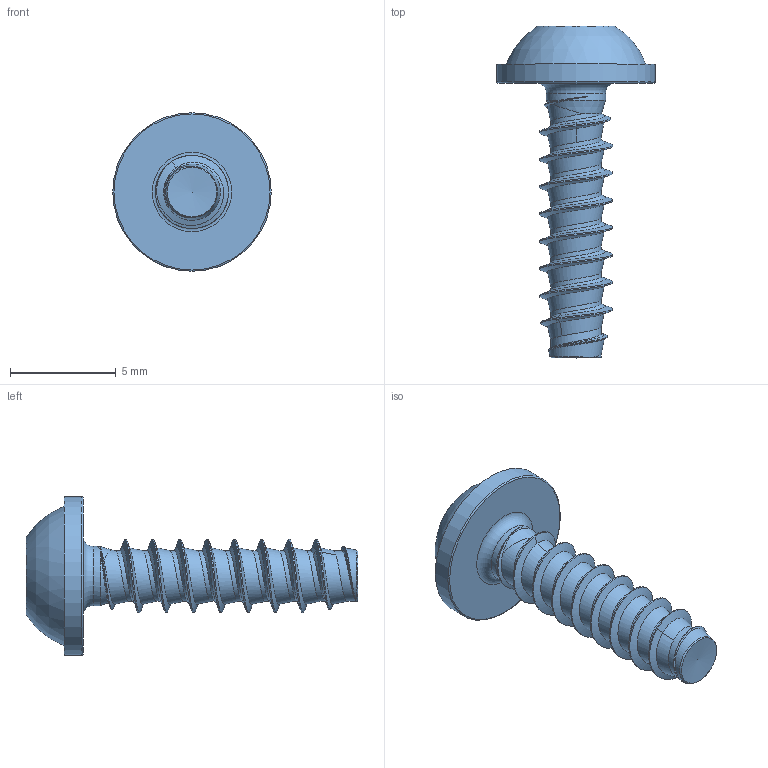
import cadquery as cq
import math


flange_radius = 3.75
flange_thickness = 0.9
flange_edge_radius = 0.06
dome_base_radius = 3.3
dome_height = 1.8
dome_center_drop = 1.2
dome_radius = math.hypot(dome_base_radius, dome_center_drop)

shank_length = 13.0
neck_radius = 1.4
neck_length = 0.8
neck_fillet = 0.48
neck_taper_length = 0.65
core_radius = 1.2
tip_dish_radius = 1.175
tip_dish_depth = 0.08

pitch = 1.29
crest_radius = 1.73
crest_half_width = 0.03
full_crest_depth = 2.0
run_in_turns = 1.25
start_depth = full_crest_depth - run_in_turns * pitch
end_depth = shank_length + pitch / 2
fade_out_depth = 11.15
rise_slope = 0.24
fade_slope = 0.28
flank_foot = 0.14
flare_run = 0.13
flare_share = 0.34
wedge_start = 0.15
wedge_end = 0.80
wedge_height = 0.14
wedge_share = 0.6
min_crest_radius = 1.24
buried_run = 0.08
flare_burial = 0.11
wedge_burial = 0.015
buried_radius = 1.0
sections_per_turn = 16


def make_blank():
    """Head, neck and core of the screw as one solid of revolution."""
    dome_top = flange_thickness + dome_height
    dome_center = flange_thickness - dome_center_drop
    top_radius = math.sqrt(dome_radius**2 - (dome_top - dome_center)**2)
    middle_height = flange_thickness + dome_height / 2
    middle_radius = math.sqrt(dome_radius**2 - (middle_height - dome_center)**2)
    edge = flange_edge_radius
    half_diagonal = math.sqrt(0.5)
    fillet_offset = neck_fillet * (1 - half_diagonal)
    edge_offset = edge * (1 - half_diagonal)
    return (
        cq.Workplane("XY")
        .moveTo(0, dome_top)
        .lineTo(top_radius, dome_top)
        .threePointArc((middle_radius, middle_height), (dome_base_radius, flange_thickness))
        .lineTo(flange_radius, flange_thickness)
        .lineTo(flange_radius, edge)
        .threePointArc((flange_radius - edge_offset, edge_offset), (flange_radius - edge, 0))
        .lineTo(neck_radius + neck_fillet, 0)
        .threePointArc((neck_radius + fillet_offset, -fillet_offset), (neck_radius, -neck_fillet))
        .lineTo(neck_radius, -neck_length)
        .lineTo(core_radius, -neck_length - neck_taper_length)
        .lineTo(core_radius, -shank_length)
        .lineTo(0, -shank_length)
        .close()
        .revolve(360, (0, 0, 0), (0, 1, 0))
    )


def crest_radius_at(depth):
    """Crest radius: rises out of the neck, stays full, then sinks towards the tip."""
    rising = crest_radius - rise_slope * (full_crest_depth - depth)
    sinking = crest_radius - fade_slope * (depth - fade_out_depth)
    return max(min_crest_radius, min(crest_radius, rising, sinking))


def thread_section(depth):
    """Closed ridge profile in the half plane through the axis at one crest depth."""
    crest = crest_radius_at(depth)
    ridge_height = crest - core_radius
    fullness = ridge_height / (crest_radius - core_radius)
    flare_top = core_radius + flare_share * ridge_height
    wedge_top = core_radius + min(wedge_height, wedge_share * ridge_height)
    head_end = -(flank_foot + flare_run) * fullness - buried_run
    tip_end = wedge_end + buried_run
    profile = [
        (head_end, buried_radius),
        (head_end, core_radius - flare_burial),
        (-flank_foot * fullness, flare_top),
        (-crest_half_width * fullness, crest),
        (crest_half_width * fullness, crest),
        (wedge_start * fullness, wedge_top),
        (tip_end, core_radius - wedge_burial),
        (tip_end, buried_radius),
    ]
    angle = 2 * math.pi * (depth - full_crest_depth) / pitch
    points = [
        cq.Vector(-radius * math.sin(angle), -depth - offset, radius * math.cos(angle))
        for offset, radius in profile
    ]
    return cq.Wire.makePolygon(points, close=True)


def make_ridge(first_depth, last_depth):
    """Right-handed helical stretch of the ridge between two crest depths."""
    count = math.ceil((last_depth - first_depth) / pitch * sections_per_turn)
    step = (last_depth - first_depth) / count
    sections = [thread_section(first_depth + index * step) for index in range(count + 1)]
    return cq.Workplane(obj=cq.Solid.makeLoft(sections))


def make_tip_cutter():
    """Everything past the tip: a shallow conical dish inside a 45 degree chamfer."""
    reach = 2 * crest_radius
    far_end = -end_depth - pitch
    return (
        cq.Workplane("XY")
        .moveTo(0, -shank_length + tip_dish_depth)
        .lineTo(tip_dish_radius, -shank_length)
        .lineTo(reach, -shank_length + reach - tip_dish_radius)
        .lineTo(reach, far_end)
        .lineTo(0, far_end)
        .close()
        .revolve(360, (0, 0, 0), (0, 1, 0))
    )


run_in = make_ridge(start_depth, full_crest_depth)
full_thread = make_ridge(full_crest_depth, fade_out_depth)
run_out = make_ridge(fade_out_depth, end_depth)
screw = make_blank().union(run_in).union(full_thread).union(run_out)
result = screw.cut(make_tip_cutter())